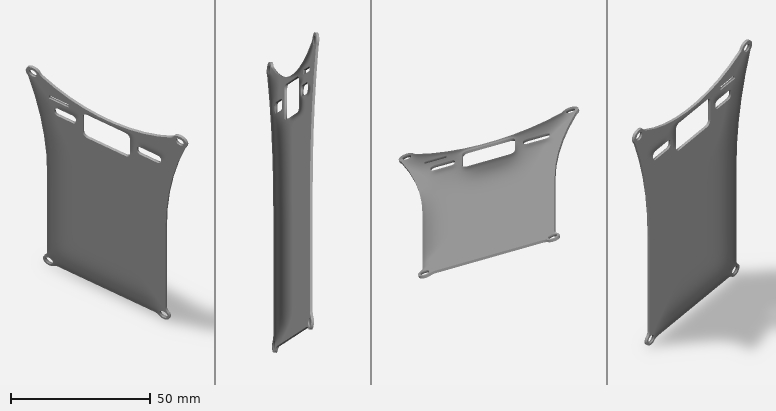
import cadquery as cq
import math

height = 107.1
width = 67.6
thickness = 1.0

upper_ear_radius = 3.0
lower_ear_radius = 2.6
ear_hole_diameter = 3.3
ear_blend_radius = 3.0
lower_ear_x = 24.0
upper_ear_x = width / 2 - upper_ear_radius
upper_ear_z = height / 2 - upper_ear_radius
lower_ear_z = lower_ear_radius - height / 2

half_body_width = 24.8
bottom_edge_z = 1.6 - height / 2
flare_start_z = -1.4
flare_radius = 157.4
top_arc_radius = 53.0
top_arc_low_z = 43.4

window_width = 19.7
window_height = 13.1
window_z = 34.9
window_corner_radius = 2.0
slot_height = 4.2
slot_z = 35.1
slot_corner_radius = 1.5
left_slot_width = 9.1
left_slot_x = -17.2
right_slot_width = 10.1
right_slot_x = 17.9
narrow_slot_width = 8.2
narrow_slot_height = 1.7
narrow_slot_x = -19.9
narrow_slot_z = 41.5
narrow_slot_left_corner_radius = 0.3

flare_center = (half_body_width + flare_radius, flare_start_z)
top_arc_center = (0, top_arc_low_z + top_arc_radius)
upper_ear = (upper_ear_x, upper_ear_z)
lower_ear = (lower_ear_x, lower_ear_z)


def circle_crossing(center_a, radius_a, center_b, radius_b, side):
    """Crossing of two circles; side is +1 for left of the line from a to b, -1 for right."""
    dx = center_b[0] - center_a[0]
    dz = center_b[1] - center_a[1]
    distance = math.hypot(dx, dz)
    along = (distance**2 + radius_a**2 - radius_b**2) / (2 * distance)
    across = side * math.sqrt(radius_a**2 - along**2)
    return (
        center_a[0] + (along * dx - across * dz) / distance,
        center_a[1] + (along * dz + across * dx) / distance,
    )


def mirrored(point):
    return (-point[0], point[1])


def on_flare(z):
    drop = math.sqrt(flare_radius**2 - (z - flare_start_z) ** 2)
    return (flare_center[0] - drop, z)


flare_end = circle_crossing(upper_ear, upper_ear_radius, flare_center, flare_radius, -1)
top_arc_end = circle_crossing(upper_ear, upper_ear_radius, top_arc_center, top_arc_radius, 1)
side_corner = (
    half_body_width,
    lower_ear_z + math.sqrt(lower_ear_radius**2 - (half_body_width - lower_ear_x) ** 2),
)
bottom_corner = (
    lower_ear_x - math.sqrt(lower_ear_radius**2 - (bottom_edge_z - lower_ear_z) ** 2),
    bottom_edge_z,
)
flare_start = (half_body_width, flare_start_z)
flare_middle = on_flare((flare_start_z + flare_end[1]) / 2)


def plate_blank():
    """Plate body cornered at the ear centres, joined to the ears with blended notches."""
    body = (
        cq.Workplane("XZ")
        .moveTo(*mirrored(bottom_corner))
        .lineTo(*bottom_corner)
        .lineTo(*lower_ear)
        .lineTo(*side_corner)
        .lineTo(*flare_start)
        .threePointArc(flare_middle, flare_end)
        .lineTo(*upper_ear)
        .lineTo(*top_arc_end)
        .threePointArc((0, top_arc_low_z), mirrored(top_arc_end))
        .lineTo(*mirrored(upper_ear))
        .lineTo(*mirrored(flare_end))
        .threePointArc(mirrored(flare_middle), mirrored(flare_start))
        .lineTo(*mirrored(side_corner))
        .lineTo(*mirrored(lower_ear))
        .close()
        .extrude(thickness / 2, both=True)
    )
    for ear, radius in ((upper_ear, upper_ear_radius), (lower_ear, lower_ear_radius)):
        ears = cq.Workplane("XZ").pushPoints([ear, mirrored(ear)]).circle(radius)
        body = body.union(ears.extrude(thickness / 2, both=True))

    notches = cq.Workplane("XZ")
    for corner in (flare_end, top_arc_end, side_corner, bottom_corner):
        for x, z in (corner, mirrored(corner)):
            edge = body.edges("|Y").edges(cq.NearestToPointSelector((x, 0, z)))
            notches = notches.add(edge.val())
    return body.newObject(notches.vals()).fillet(ear_blend_radius)


def ear_holes():
    centers = [upper_ear, mirrored(upper_ear), lower_ear, mirrored(lower_ear)]
    holes = cq.Workplane("XZ").pushPoints(centers).circle(ear_hole_diameter / 2)
    return holes.extrude(thickness, both=True)


def cutout(x, z, cut_width, cut_height):
    outline = cq.Workplane("XZ").center(x, z).rect(cut_width, cut_height)
    return outline.extrude(thickness, both=True)


window = cutout(0, window_z, window_width, window_height).edges("|Y").fillet(window_corner_radius)
result = plate_blank().cut(ear_holes()).cut(window)
for slot_x, slot_width in ((left_slot_x, left_slot_width), (right_slot_x, right_slot_width)):
    slot = cutout(slot_x, slot_z, slot_width, slot_height)
    result = result.cut(slot.edges("|Y").fillet(slot_corner_radius))

narrow_slot = cutout(narrow_slot_x, narrow_slot_z, narrow_slot_width, narrow_slot_height)
narrow_slot = narrow_slot.faces("<X").edges("|Y").fillet(narrow_slot_left_corner_radius)
result = result.cut(narrow_slot)